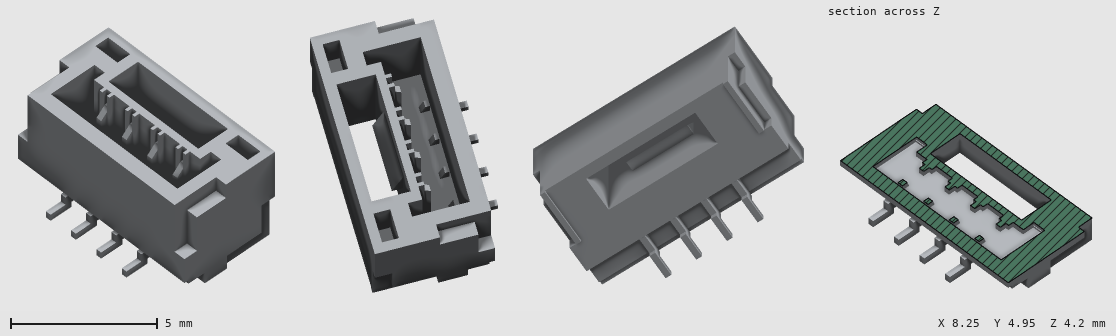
import cadquery as cq

WIDTH = 8.25
DEPTH = 4.25
TOP = 4.2
BASE = 0.13

LIP_DEPTH = 0.19
LIP_HEIGHT = 0.8
UNDERCUT_DEPTH = 0.96
UNDERCUT_HEIGHT = 0.635

NOTCH_INSET = 0.49
NOTCH_LEG = 0.64
FRONT_NOTCH_LENGTH = 1.95
FRONT_NOTCH_UPRIGHT = 0.585
BACK_NOTCH_START = 2.005
BACK_NOTCH_TOP = 2.055
BACK_NOTCH_SILL = 0.74
CLIP_THICKNESS = 0.2
CLIP_FOOT_STEP = 0.025
CLIP_FOOT_HEIGHT = 0.36

CAVITY_WIDTH = 6.27
CAVITY_FRONT = 0.61
CAVITY_BACK = 2.15
CAVITY_FLOOR = 0.825
CORNER_WIDTH = 0.51
CORNER_BACK = 2.66
CORNER_LEDGE = 0.025
CORNER_LEDGE_HEIGHT = 0.08

WINDOW_WIDTH = 4.455
WINDOW_FRONT = 2.45
WINDOW_BACK = 3.84
LATCH_WIDTH = 2.49
LATCH_REACH = 0.4
LATCH_TOP = 3.135
LATCH_HEIGHT = 0.99

POCKET_LENGTH = 1.1
POCKET_WIDTH = 0.59
POCKET_DEPTH = 1.65
POCKET_OFFSET_X = 3.225
POCKET_CENTER_Y = 3.6

PIN_COUNT = 4
PIN_PITCH = 1.25
PIN_FIRST_X = -PIN_PITCH * (PIN_COUNT - 1) / 2
PIN_WIDTH = 0.23
RIB_SPAN = 0.49
RIB_FRONT = 1.94
FOOT_REACH = 0.7
FOOT_HEIGHT = 0.29
FOOT_BACK = 0.29
LEG_UNDERSIDE = 0.24
BLADE_FRONT = 1.675
BLADE_TIP_FRONT = 2.06
BLADE_TOP = 3.53
BLADE_SHOULDER = 3.16
STUB_FRONT = 0.67
STUB_TIP_BACK = 0.825
STUB_BACK = 1.0
STUB_HEIGHT = 0.43


def block(x0, x1, y0, y1, z0, z1):
    """Box between two opposite corners."""
    return cq.Workplane("XY").box(x1 - x0, y1 - y0, z1 - z0, centered=False).translate((x0, y0, z0))


def centered_block(center_x, width, y0, y1, z0, z1):
    """Box spread evenly about center_x."""
    return block(center_x - width / 2, center_x + width / 2, y0, y1, z0, z1)


def side_profile(points, x0, x1):
    """Extrude a (y, z) outline from x0 to x1."""
    return cq.Workplane("YZ").polyline(points).close().extrude(x1 - x0).translate((x0, 0, 0))


def both_sides(solid):
    """The solid together with its mirror image across the middle of the part."""
    return solid.union(solid.mirror("YZ"))


def housing_block():
    profile = [
        (0, LIP_HEIGHT),
        (LIP_DEPTH, LIP_HEIGHT),
        (LIP_DEPTH, UNDERCUT_HEIGHT),
        (UNDERCUT_DEPTH, UNDERCUT_HEIGHT),
        (UNDERCUT_DEPTH, BASE),
        (DEPTH, BASE),
        (DEPTH, TOP),
        (0, TOP),
    ]
    return side_profile(profile, -WIDTH / 2, WIDTH / 2)


def front_notches():
    profile = [
        (0, TOP),
        (FRONT_NOTCH_LENGTH, TOP),
        (FRONT_NOTCH_LENGTH, TOP - NOTCH_LEG),
        (FRONT_NOTCH_UPRIGHT, TOP - NOTCH_LEG),
        (FRONT_NOTCH_UPRIGHT, FRONT_NOTCH_LENGTH),
        (0, FRONT_NOTCH_LENGTH),
    ]
    return both_sides(side_profile(profile, -WIDTH / 2, -WIDTH / 2 + NOTCH_INSET))


def back_notches():
    profile = [
        (DEPTH, BASE),
        (BACK_NOTCH_START, BASE),
        (BACK_NOTCH_START, BACK_NOTCH_SILL),
        (DEPTH - NOTCH_LEG, BACK_NOTCH_SILL),
        (DEPTH - NOTCH_LEG, BACK_NOTCH_TOP),
        (DEPTH, BACK_NOTCH_TOP),
    ]
    return both_sides(side_profile(profile, -WIDTH / 2, -WIDTH / 2 + NOTCH_INSET))


def clips():
    foot_start = BACK_NOTCH_START + CLIP_FOOT_STEP
    profile = [
        (DEPTH, 0),
        (foot_start, 0),
        (foot_start, CLIP_FOOT_HEIGHT),
        (BACK_NOTCH_START, CLIP_FOOT_HEIGHT),
        (BACK_NOTCH_START, BACK_NOTCH_SILL),
        (DEPTH - NOTCH_LEG, BACK_NOTCH_SILL),
        (DEPTH - NOTCH_LEG, BACK_NOTCH_TOP),
        (DEPTH, BACK_NOTCH_TOP),
    ]
    inner_face = -WIDTH / 2 + NOTCH_INSET
    return both_sides(side_profile(profile, inner_face - CLIP_THICKNESS, inner_face))


def contact_cavity():
    main = centered_block(0, CAVITY_WIDTH, CAVITY_FRONT, CAVITY_BACK, CAVITY_FLOOR, TOP)
    left = -CAVITY_WIDTH / 2
    right = left + CORNER_WIDTH
    ledge_top = CAVITY_FLOOR + CORNER_LEDGE_HEIGHT
    corner = block(left, right, CAVITY_FRONT, CORNER_BACK, ledge_top, TOP)
    corner_foot = block(left, right, CAVITY_FRONT, CORNER_BACK - CORNER_LEDGE, CAVITY_FLOOR, TOP)
    return main.union(both_sides(corner.union(corner_foot)))


def latch_window():
    return centered_block(0, WINDOW_WIDTH, WINDOW_FRONT, WINDOW_BACK, BASE, TOP)


def latch():
    """Wedge on the front wall of the window, sloping away from the top."""
    profile = [
        (WINDOW_FRONT, LATCH_TOP),
        (WINDOW_FRONT + LATCH_REACH, LATCH_TOP - LATCH_HEIGHT),
        (WINDOW_FRONT, LATCH_TOP - LATCH_HEIGHT),
    ]
    return side_profile(profile, -LATCH_WIDTH / 2, LATCH_WIDTH / 2)


def back_pockets():
    y0 = POCKET_CENTER_Y - POCKET_WIDTH / 2
    pocket = centered_block(
        POCKET_OFFSET_X, POCKET_LENGTH, y0, y0 + POCKET_WIDTH, TOP - POCKET_DEPTH, TOP
    )
    return both_sides(pocket)


def guide_ribs(x):
    """Pair of ribs leaving a slot as wide as the contact."""
    ribs = centered_block(x, RIB_SPAN, RIB_FRONT, CAVITY_BACK, CAVITY_FLOOR, TOP)
    slot = centered_block(x, PIN_WIDTH, RIB_FRONT, CAVITY_BACK, CAVITY_FLOOR, TOP)
    return ribs.cut(slot)


def contact(x):
    """Solder foot, leg through the floor, low front stub and tall blade with a sloped tip."""
    stub_top = CAVITY_FLOOR + STUB_HEIGHT
    profile = [
        (-FOOT_REACH, 0),
        (FOOT_BACK, 0),
        (FOOT_BACK, LEG_UNDERSIDE),
        (CAVITY_BACK, LEG_UNDERSIDE),
        (CAVITY_BACK, BLADE_TOP),
        (BLADE_TIP_FRONT, BLADE_TOP),
        (BLADE_FRONT, BLADE_SHOULDER),
        (BLADE_FRONT, CAVITY_FLOOR),
        (STUB_BACK, CAVITY_FLOOR),
        (STUB_TIP_BACK, stub_top),
        (STUB_FRONT, stub_top),
        (STUB_FRONT, UNDERCUT_HEIGHT),
        (0, UNDERCUT_HEIGHT),
        (0, FOOT_HEIGHT),
        (-FOOT_REACH, FOOT_HEIGHT),
    ]
    return side_profile(profile, x - PIN_WIDTH / 2, x + PIN_WIDTH / 2)


result = (
    housing_block()
    .cut(front_notches())
    .cut(back_notches())
    .cut(contact_cavity())
    .cut(latch_window())
    .cut(back_pockets())
    .union(latch())
    .union(clips())
)
for index in range(PIN_COUNT):
    pin_x = PIN_FIRST_X + index * PIN_PITCH
    result = result.union(guide_ribs(pin_x)).union(contact(pin_x))